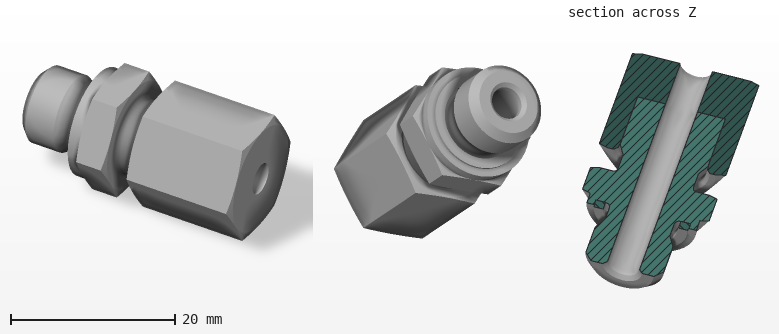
import cadquery as cq
import math


total_length = 31.0
across_flats = 14.0
across_corners = across_flats / math.cos(math.radians(30))
corner_chamfer_angle = 15.0
envelope_margin = 0.3

thread_end_x = 4.9
seal_front_x = 7.7
collar_front_x = 8.0
hex_front_x = 9.5
hex_back_x = 13.5
nut_front_x = 16.5
socket_end_x = 24.8

bore_radius = 2.0
bore_mouth_radius = 2.5
bore_chamfer = bore_mouth_radius - bore_radius

thread_radius = 5.0
thread_chamfer = 1.0
neck_radius = 4.15
neck_cone_angle = 30.0
neck_fillet = 1.0

collar_radius = across_flats / 2
seal_radius = 6.0
seal_bore_radius = 4.77
recess_floor_x = 8.7
recess_fillet = seal_bore_radius - neck_radius

waist_radius = 4.85
waist_fillet = 0.5
waist_end_x = 16.1
stem_radius = 5.65
stem_cone_angle = 30.0
socket_chamfer = 0.5

stud_face_radius = across_flats / 2
nut_face_radius = 6.9


def revolve_about_x(profile):
    """Turn a closed (X, radius) profile about the X axis."""
    return profile.close().revolve(360, (0, 0, 0), (1, 0, 0))


def cylinder_along_x(start_x, end_x, radius):
    return cq.Workplane("YZ", origin=(start_x, 0, 0)).circle(radius).extrude(end_x - start_x)


def chamfered_hexagon(start_x, end_x, face_radius):
    """Hexagonal prism with corners along Y, both ends turned down by a shallow cone."""
    prism = cq.Workplane("YZ", origin=(start_x, 0, 0)).polygon(6, across_corners).extrude(end_x - start_x)
    envelope_radius = across_corners / 2 + envelope_margin
    cone_length = (envelope_radius - face_radius) * math.tan(math.radians(corner_chamfer_angle))
    envelope = revolve_about_x(
        cq.Workplane("XY")
        .moveTo(start_x, 0)
        .lineTo(start_x, face_radius)
        .lineTo(start_x + cone_length, envelope_radius)
        .lineTo(end_x - cone_length, envelope_radius)
        .lineTo(end_x, face_radius)
        .lineTo(end_x, 0)
    )
    return prism.intersect(envelope)


def arc_middle(center_x, center_radius, radius, angle):
    """Point on an arc, the angle measured from +X towards larger radius."""
    turn = math.radians(angle)
    return (center_x + radius * math.cos(turn), center_radius + radius * math.sin(turn))


def make_threaded_end():
    """Threaded end, coned undercut, neck and collar with the seal recess."""
    slope = math.radians(neck_cone_angle)
    cone_foot_radius = neck_radius + neck_fillet * (1 - math.cos(slope))
    cone_foot_x = thread_end_x + (thread_radius - cone_foot_radius) / math.tan(slope)
    neck_start_x = cone_foot_x + neck_fillet * math.sin(slope)
    fillet_middle = arc_middle(neck_start_x, neck_radius + neck_fillet, neck_fillet, 270 - neck_cone_angle / 2)
    recess_middle = arc_middle(recess_floor_x - recess_fillet, seal_bore_radius, recess_fillet, -45)
    return revolve_about_x(
        cq.Workplane("XY")
        .lineTo(0, thread_radius - thread_chamfer)
        .lineTo(thread_chamfer, thread_radius)
        .lineTo(thread_end_x, thread_radius)
        .lineTo(cone_foot_x, cone_foot_radius)
        .threePointArc(fillet_middle, (neck_start_x, neck_radius))
        .lineTo(recess_floor_x - recess_fillet, neck_radius)
        .threePointArc(recess_middle, (recess_floor_x, seal_bore_radius))
        .lineTo(recess_floor_x, seal_radius)
        .lineTo(collar_front_x, seal_radius)
        .lineTo(collar_front_x, collar_radius)
        .lineTo(hex_front_x, collar_radius)
        .lineTo(hex_front_x, 0)
    )


def make_stem():
    """Filleted waist behind the hexagon and the stem that fills the nut socket."""
    front_middle = arc_middle(hex_back_x + waist_fillet, waist_radius + waist_fillet, waist_fillet, 225)
    cone_length = (stem_radius - waist_radius) / math.tan(math.radians(stem_cone_angle))
    return revolve_about_x(
        cq.Workplane("XY")
        .moveTo(hex_back_x, 0)
        .lineTo(hex_back_x, waist_radius + waist_fillet)
        .threePointArc(front_middle, (hex_back_x + waist_fillet, waist_radius))
        .lineTo(waist_end_x, waist_radius)
        .lineTo(waist_end_x + cone_length, stem_radius)
        .lineTo(socket_end_x, stem_radius)
        .lineTo(socket_end_x, 0)
    )


def make_stud():
    hexagon = chamfered_hexagon(hex_front_x, hex_back_x, stud_face_radius)
    stud = make_threaded_end().union(hexagon).union(make_stem())
    bore = cylinder_along_x(0, socket_end_x, bore_radius)
    mouth = revolve_about_x(
        cq.Workplane("XY").lineTo(0, bore_mouth_radius).lineTo(bore_chamfer, bore_radius).lineTo(bore_chamfer, 0)
    )
    return stud.cut(bore).cut(mouth)


def make_seal_ring():
    ring = cylinder_along_x(seal_front_x, recess_floor_x, seal_radius)
    return ring.cut(cylinder_along_x(seal_front_x, recess_floor_x, seal_bore_radius))


def make_nut():
    """Union nut: socket for the stem, then the bore carried on through the end wall."""
    socket = cylinder_along_x(nut_front_x, socket_end_x, stem_radius)
    mouth = revolve_about_x(
        cq.Workplane("XY")
        .moveTo(nut_front_x, 0)
        .lineTo(nut_front_x, stem_radius + socket_chamfer)
        .lineTo(nut_front_x + socket_chamfer, stem_radius)
        .lineTo(nut_front_x + socket_chamfer, 0)
    )
    bore = cylinder_along_x(socket_end_x, total_length, bore_radius)
    hexagon = chamfered_hexagon(nut_front_x, total_length, nut_face_radius)
    return hexagon.cut(socket).cut(mouth).cut(bore)


stud = make_stud()
seal_ring = make_seal_ring()
nut = make_nut()

result = cq.Compound.makeCompound([stud.val(), seal_ring.val(), nut.val()])